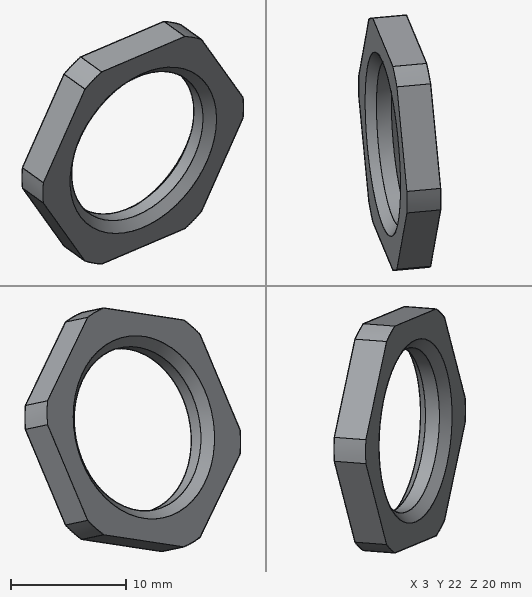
import cadquery as cq

thickness = 3.0
across_flats = 20.0
corner_diameter = 22.0
bore_diameter = 14.38
countersink_diameter = 16.05
countersink_depth = (countersink_diameter - bore_diameter) / 2


def flat_pair(angle):
    """Slab bounded by one pair of opposite hexagon flats."""
    slab = cq.Workplane("YZ").rect(2 * corner_diameter, across_flats).extrude(thickness)
    return slab.rotate((0, 0, 0), (1, 0, 0), angle)


body = cq.Workplane("YZ").circle(corner_diameter / 2).extrude(thickness)
for angle in (0, 60, 120):
    body = body.intersect(flat_pair(angle))

body = body.cut(cq.Workplane("YZ").circle(bore_diameter / 2).extrude(thickness))
bore_rims = body.faces("<X or >X").edges("%CIRCLE").edges(
    cq.selectors.RadiusNthSelector(0)
)
body = bore_rims.chamfer(countersink_depth)

result = body.translate((-thickness / 2, 0, 0))